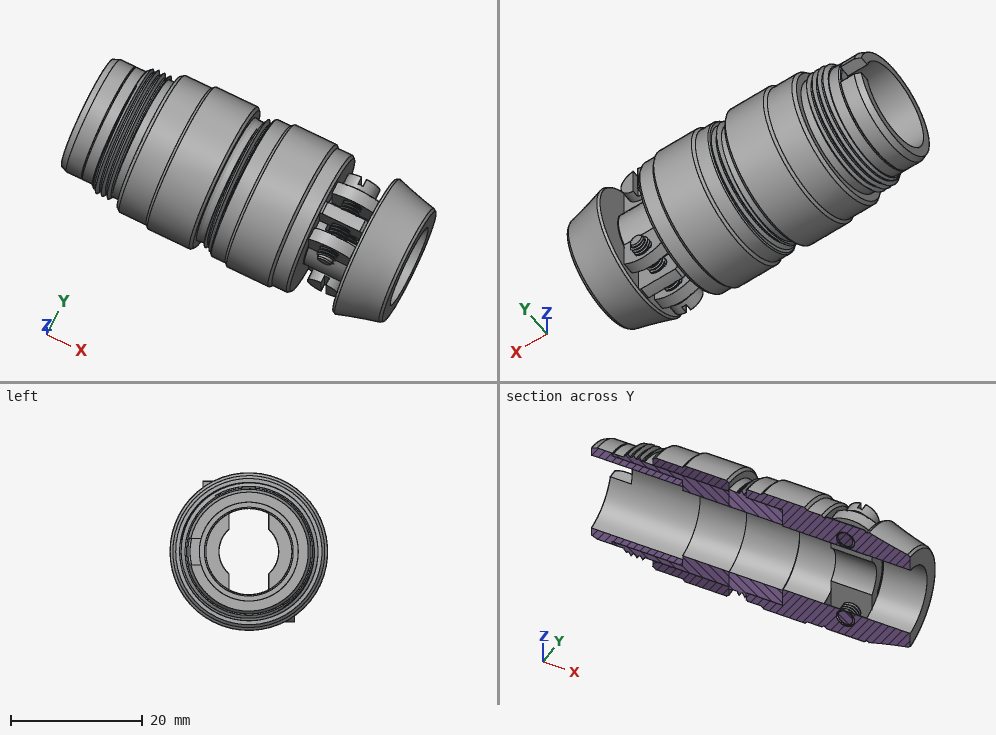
import cadquery as cq
import math


total_length = 54.5
grip_radius = 12.0
rim_radius = 11.55
rim_chamfer = 0.45
bore_radius = 7.5
rear_bore_radius = 6.75
cable_radius = 6.55

flange_length = 3.6
flange_radius = 9.5
nose_chamfer_length = 1.05
nose_chamfer_depth = 0.45
tube_radius = 8.95
tube_end_x = 15.6
keyway_width = 4.05

sleeve_radius = 9.9
sleeve_edge_chamfer = 0.2
front_thread_start_x = 5.55
front_thread_end_x = 9.1
front_thread_crest_radius = 10.5
front_thread_lead_radius = 9.7
front_thread_phase_x = 6.0

coupling_start_x = 10.45
coupling_band_x = 15.6
coupling_end_x = 23.55
coupling_chamfer_length = 0.55

tail_neck_x = 24.1
tail_taper = 0.15
tail_neck_radius = 10.25
tail_spigot_radius = 9.9
tail_end_x = 32.7
rear_thread_start_x = 24.95
rear_thread_crest_radius = 11.0
rear_thread_phase_x = 25.45
rear_thread_lead_radius = 10.65

backshell_start_x = 26.45
backshell_edge_chamfer = 0.2
backshell_band_start_x = 29.0
backshell_band_end_x = 36.9
window_start_x = 39.8
window_end_x = 47.05
groove_floor_radius = 11.15
groove_flank_length = 0.45
strap_width = 2.0
cone_start_x = 47.45
cone_start_radius = 11.4
cone_mid_radius = 10.4
cone_end_x = 54.05
cone_end_radius = 9.6
outlet_radius = 9.25

clamp_x = (window_start_x + window_end_x) / 2
jaw_width = 7.0
saddle_radius = cable_radius
saddle_bore_radius = 4.5
saddle_half_height = 4.35
ear_inner_y = 3.0
ear_outer_y = 5.0
ear_top_z = 10.5
ear_corner_z = 9.3
screw_z = 8.0
screw_radius = 1.5
screw_root_radius = 1.2
screw_tip_radius = 1.05
screw_tip_chamfer = 0.25
screw_tip_y = 6.85
screw_pitch = 0.5
head_radius = 2.7
head_height = 1.95
slot_width = 0.8
slot_depth = 1.2

sleeve_pitch = 1.005
thread_sink = 0.1
thread_base_share = 0.9


def revolve_about_x(points):
    """Solid of revolution about X from (x, radius) points."""
    return cq.Workplane("XY").polyline(points).close().revolve(360, (0, 0, 0), (1, 0, 0))


def rod(start_x, end_x, radius):
    """Cylinder along X."""
    return cq.Workplane("YZ", origin=(start_x, 0, 0)).circle(radius).extrude(end_x - start_x)


def thread_ridge(root_radius, crest_radius, pitch, length):
    """Right-handed helical V-ridge around Z; its crest starts on +X at z = 0."""
    base_radius = root_radius - thread_sink
    half_base = thread_base_share * pitch / 2
    helix = cq.Wire.makeHelix(pitch, length, base_radius)
    profile = (
        cq.Workplane("XZ")
        .moveTo(base_radius, -half_base)
        .lineTo(crest_radius, 0)
        .lineTo(base_radius, half_base)
        .close()
    )
    return profile.sweep(cq.Workplane(helix), isFrenet=True)


def thread_envelope(start_x, end_x, lead_radius):
    """Space for a thread, with a 45-degree lead-in that rises from lead_radius at start_x."""
    return revolve_about_x([
        (start_x, bore_radius),
        (start_x, lead_radius),
        (start_x + grip_radius - lead_radius, grip_radius),
        (end_x, grip_radius),
        (end_x, bore_radius),
    ])


def sleeve_thread(root_radius, crest_radius, phase_x, envelope):
    """Sleeve thread along X, trimmed to the envelope solid."""
    limits = envelope.val().BoundingBox()
    turns_ahead = math.ceil((phase_x - limits.xmin) / sleeve_pitch) + 1
    start_x = phase_x - turns_ahead * sleeve_pitch
    length = limits.xmax + sleeve_pitch - start_x
    ridge = thread_ridge(root_radius, crest_radius, sleeve_pitch, length).val()
    along_x = cq.Plane(origin=(start_x, 0, 0), xDir=(0, 1, 0), normal=(1, 0, 0))
    return cq.Workplane(ridge.moved(cq.Location(along_x))).intersect(envelope)


def make_insert():
    body = revolve_about_x([
        (0, bore_radius),
        (0, flange_radius - nose_chamfer_depth),
        (nose_chamfer_length, flange_radius),
        (flange_length, flange_radius),
        (flange_length, tube_radius),
        (tube_end_x, tube_radius),
        (tube_end_x, bore_radius),
    ])
    keyway = cq.Workplane("XY").box(
        flange_length, flange_radius, keyway_width, centered=(False, False, True)
    )
    return body.cut(keyway)


def make_coupling_sleeve():
    body = revolve_about_x([
        (flange_length, tube_radius),
        (flange_length, flange_radius - sleeve_edge_chamfer),
        (flange_length + sleeve_edge_chamfer, flange_radius),
        (front_thread_start_x, flange_radius),
        (front_thread_start_x, front_thread_lead_radius),
        (front_thread_start_x + sleeve_radius - front_thread_lead_radius, sleeve_radius),
        (coupling_end_x, sleeve_radius),
        (coupling_end_x, rear_bore_radius),
        (tube_end_x, rear_bore_radius),
        (tube_end_x, tube_radius),
    ])
    envelope = thread_envelope(front_thread_start_x, front_thread_end_x, front_thread_lead_radius)
    thread = sleeve_thread(sleeve_radius, front_thread_crest_radius, front_thread_phase_x, envelope)
    return body.union(thread)


def make_coupling_ring():
    return revolve_about_x([
        (coupling_start_x, sleeve_radius),
        (coupling_start_x, rim_radius - rim_chamfer),
        (coupling_start_x + coupling_chamfer_length, rim_radius),
        (coupling_band_x, rim_radius),
        (coupling_band_x + rim_chamfer, grip_radius),
        (coupling_end_x - rim_chamfer, grip_radius),
        (coupling_end_x, rim_radius),
        (coupling_end_x, sleeve_radius),
    ])


def make_tail_sleeve():
    body = revolve_about_x([
        (coupling_end_x, rear_bore_radius),
        (coupling_end_x, tail_neck_radius + tail_taper),
        (tail_neck_x, tail_neck_radius),
        (backshell_start_x, tail_neck_radius),
        (backshell_start_x, tail_spigot_radius),
        (tail_end_x, tail_spigot_radius),
        (tail_end_x, rear_bore_radius),
    ])
    envelope = thread_envelope(rear_thread_start_x, backshell_start_x, rear_thread_lead_radius)
    thread = sleeve_thread(tail_neck_radius, rear_thread_crest_radius, rear_thread_phase_x, envelope)
    return body.union(thread)


def make_backshell():
    body = (
        cq.Workplane("XY")
        .moveTo(backshell_start_x, 0)
        .lineTo(backshell_start_x, rim_radius - backshell_edge_chamfer)
        .lineTo(backshell_start_x + backshell_edge_chamfer, rim_radius)
        .lineTo(backshell_band_start_x, rim_radius)
        .lineTo(backshell_band_start_x + rim_chamfer, grip_radius)
        .lineTo(backshell_band_end_x - rim_chamfer, grip_radius)
        .lineTo(backshell_band_end_x, rim_radius)
        .lineTo(window_start_x - groove_flank_length, rim_radius)
        .lineTo(window_start_x, groove_floor_radius)
        .lineTo(window_start_x + groove_flank_length, rim_radius)
        .lineTo(window_end_x - groove_flank_length, rim_radius)
        .lineTo(window_end_x, groove_floor_radius)
        .lineTo(cone_start_x, cone_start_radius)
        .threePointArc(
            ((cone_start_x + cone_end_x) / 2, cone_mid_radius),
            (cone_end_x, cone_end_radius),
        )
        .lineTo(total_length, outlet_radius)
        .lineTo(total_length, 0)
        .close()
        .revolve(360, (0, 0, 0), (1, 0, 0))
    )
    body = body.cut(rod(backshell_start_x, tail_end_x, tail_spigot_radius))
    body = body.cut(rod(backshell_start_x, total_length, cable_radius))
    for side in (-1, 1):
        window = cq.Workplane("XY").box(
            window_end_x - window_start_x, grip_radius, 2 * grip_radius
        )
        body = body.cut(window.translate((clamp_x, side * (strap_width + grip_radius) / 2, 0)))
    return body.cut(screw_holes())


def screw_holes():
    holes = cq.Workplane("XZ", origin=(clamp_x, 0, 0)).pushPoints([(0, -screw_z), (0, screw_z)])
    return holes.circle(screw_radius).extrude(grip_radius, both=True)


def make_jaw(side):
    """Clamp jaw with a half-round saddle between two ears; side is -1 or +1 along Y."""
    half_width = jaw_width / 2
    ear_thickness = ear_outer_y - ear_inner_y
    ears = (
        cq.Workplane("XZ", origin=(clamp_x, ear_outer_y, 0))
        .moveTo(-half_width, -ear_corner_z)
        .threePointArc((0, -ear_top_z), (half_width, -ear_corner_z))
        .lineTo(half_width, ear_corner_z)
        .threePointArc((0, ear_top_z), (-half_width, ear_corner_z))
        .close()
        .extrude(ear_thickness)
    )
    saddle = rod(clamp_x - half_width, clamp_x + half_width, saddle_radius)
    saddle_zone = cq.Workplane("XY", origin=(clamp_x, ear_inner_y, 0)).box(
        jaw_width, saddle_radius, 2 * saddle_half_height, centered=(True, False, True)
    )
    jaw = ears.union(saddle.intersect(saddle_zone))
    jaw = jaw.cut(rod(clamp_x - half_width, clamp_x + half_width, saddle_bore_radius))
    jaw = jaw.cut(screw_holes())
    if side < 0:
        jaw = jaw.mirror("XZ")
    return jaw


def make_screw(side):
    """Slotted screw through both jaws; its head is on the -Y (-1) or +Y (+1) side."""
    length = ear_outer_y + screw_tip_y
    core = cq.Workplane("XY").circle(screw_root_radius).extrude(length)
    tip_chamfer = screw_root_radius - screw_tip_radius
    core = core.faces(">Z").chamfer(screw_tip_chamfer, tip_chamfer)
    thread_length = length - screw_pitch
    ridge = thread_ridge(screw_root_radius, screw_radius, screw_pitch, thread_length)
    envelope = cq.Workplane("XY").circle(grip_radius).extrude(length - screw_tip_chamfer)
    head = cq.Workplane("XY").circle(head_radius).extrude(-head_height)
    slot = cq.Workplane("XY", origin=(0, 0, -head_height)).box(
        2 * head_radius, slot_width, slot_depth, centered=(True, True, False)
    )
    screw = core.union(ridge.intersect(envelope)).union(head.cut(slot))
    seat = cq.Plane(
        origin=(clamp_x, side * ear_outer_y, side * screw_z),
        xDir=(0, 0, 1),
        normal=(0, -side, 0),
    )
    return cq.Workplane(screw.val().moved(cq.Location(seat)))


insert = make_insert()
coupling_sleeve = make_coupling_sleeve()
coupling_ring = make_coupling_ring()
tail_sleeve = make_tail_sleeve()
backshell = make_backshell()
sides = (-1, 1)
jaws = [make_jaw(side) for side in sides]
screws = [make_screw(side) for side in sides]

bodies = [insert, coupling_sleeve, coupling_ring, tail_sleeve, backshell, *jaws, *screws]
result = cq.Compound.makeCompound([body.solids().val() for body in bodies])